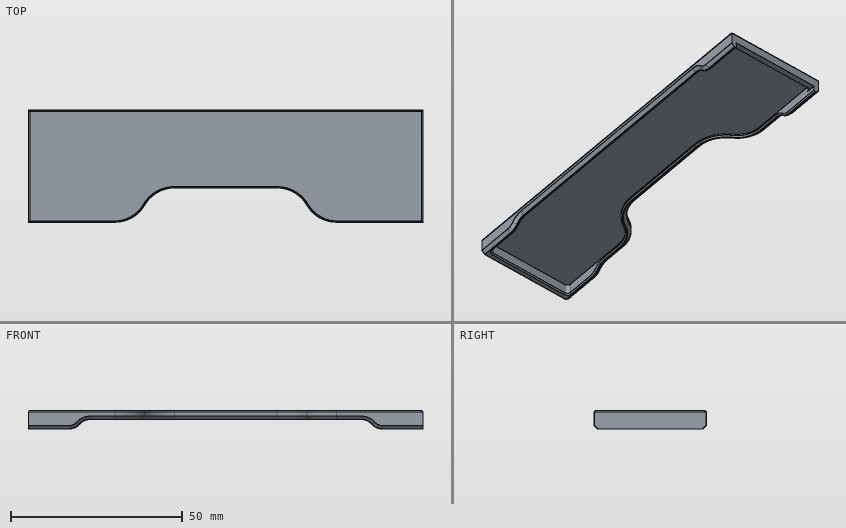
import cadquery as cq
import math

length = 115.2
width = 32.7
height = 5.4

wall = 1.7
roof = 1.7
cavity_corner_radius = 1.2

top_chamfer = 0.4
bottom_chamfer = 1.0
rim_chamfer = 0.4

recess_start = 25.2
recess_depth = 10.0
recess_radius = 10.0

foot_length = 11.9
foot_height = 2.8
foot_radius = 4.0

opening_height = 2.0

margin = 1.2
touching = 0.01


def stepped_outline(plane, top, start, climb, radius):
    """Closed outline from 0 to `top` whose lower edge is raised by `climb` along its middle.

    Each step is two arcs of the same radius that meet tangentially halfway up.
    """
    run = math.sqrt(4 * radius * climb - climb**2)
    end = start + run
    half_way = start + run / 2
    return (
        cq.Workplane(plane)
        .lineTo(start, 0)
        .tangentArcPoint((half_way, climb / 2), relative=False)
        .tangentArcPoint((end, climb), relative=False)
        .lineTo(length - end, climb)
        .tangentArcPoint((length - half_way, climb / 2), relative=False)
        .tangentArcPoint((length - start, 0), relative=False)
        .lineTo(length, 0)
        .lineTo(length, top)
        .lineTo(0, top)
        .close()
    )


def plan_outline():
    """Outline of the cover as a plate, with the recess in its front edge."""
    return stepped_outline("XY", width, recess_start, recess_depth, recess_radius)


def side_profile():
    """Full-width solid that is as high as the cover and raised along the middle of its underside."""
    outline = stepped_outline("XZ", height, foot_length, foot_height, foot_radius)
    return outline.extrude(-width)


def outer_body():
    """Solid cover with its top edges and the lower edges of its front and back chamfered."""
    body = plan_outline().extrude(height).intersect(side_profile())
    body = body.faces(">Z").edges().chamfer(top_chamfer)
    underside = cq.selectors.BoxSelector(
        (margin, -margin, -margin),
        (length - margin, width + margin, foot_height + bottom_chamfer / 2),
    )
    return body.edges(underside).edges("not |Y").chamfer(bottom_chamfer)


def cavity():
    """Hollow inside the walls, with rounded corners at both ends."""
    hollow = plan_outline().offset2D(-wall).extrude(height - roof)
    return hollow.edges("|Z and (<X or >X)").fillet(cavity_corner_radius)


def end_opening():
    """Slot through the left end wall, as wide as the cavity and open at the bottom."""
    depth = wall + cavity_corner_radius
    slot = cq.Workplane("XY").box(depth, width - 2 * wall, opening_height, centered=False)
    return slot.translate((0, wall, 0))


def chamfer_rim(body, hollow):
    """Chamfer the lower inner edges of the walls.

    These are the low edges on the cavity's surface, except those at the top of the end opening.
    """

    def on_rim(edge):
        middle = edge.positionAt(0.5)
        is_low = edge.BoundingBox().zmax < foot_height + touching
        over_opening = abs(middle.z - opening_height) < touching
        gap = cq.Vertex.makeVertex(*middle.toTuple()).distance(hollow.val())
        return is_low and not over_opening and gap < touching

    return body.edges().filter(on_rim).chamfer(rim_chamfer)


hollow = cavity()
body = outer_body().cut(hollow).cut(end_opening())
result = chamfer_rim(body, hollow)